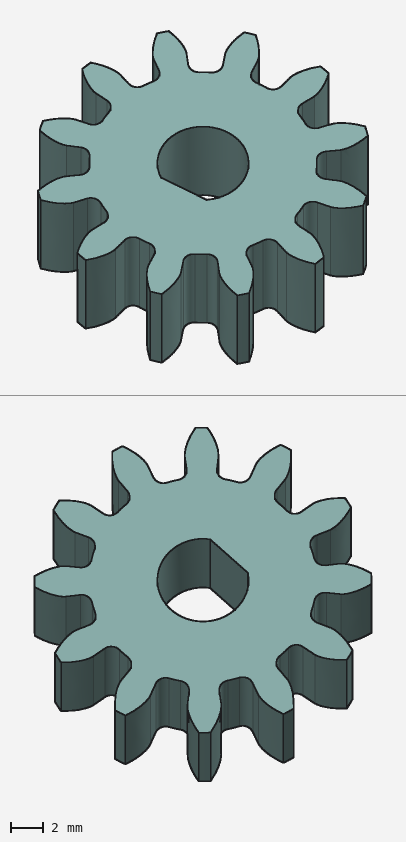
import cadquery as cq
import math

tooth_count = 12
thickness = 7.0
tip_radius = 10.3
base_radius = 8.47
root_radius = 6.95
root_fillet = 0.66
base_half_angle = math.radians(7.0)
involute_steps = 6

bore_radius = 2.79
flat_distance = 2.27

tooth_pitch = 2 * math.pi / tooth_count
fillet_center_radius = root_radius + root_fillet
fillet_angle = math.asin(root_fillet / fillet_center_radius)
fillet_end_radius = fillet_center_radius * math.cos(fillet_angle)


def polar(radius, angle):
    return (radius * math.cos(angle), radius * math.sin(angle))


def half_angle(radius):
    """Half the tooth width, as an angle, on the involute at a given radius."""
    pressure_angle = math.acos(base_radius / radius)
    return base_half_angle - (math.tan(pressure_angle) - pressure_angle)


def flank_points(center_angle, side):
    """Involute points from base to tip; side is -1 or +1 about the tooth center."""
    points = []
    for step in range(involute_steps + 1):
        radius = base_radius + (tip_radius - base_radius) * step / involute_steps
        points.append(polar(radius, center_angle + side * half_angle(radius)))
    return points


def fillet_middle(center, center_angle, side):
    """Middle of a root fillet arc; side is -1 or +1 towards the flank it touches."""
    inward = center_angle + math.pi
    sweep = math.pi / 2 - fillet_angle
    dx, dy = polar(root_fillet, inward - side * sweep / 2)
    return (center[0] + dx, center[1] + dy)


def add_tooth(outline, center_angle):
    """Add one tooth and the root gap after it, starting at the fillet's radial end."""
    rising = flank_points(center_angle, -1)
    falling = flank_points(center_angle, 1)[::-1]
    outline = outline.lineTo(*rising[0]).spline(rising[1:], includeCurrent=True)
    outline = outline.threePointArc(polar(tip_radius, center_angle), falling[0])
    outline = outline.spline(falling[1:], includeCurrent=True)

    gap_start = center_angle + base_half_angle
    gap_end = center_angle + tooth_pitch - base_half_angle
    first_center = polar(fillet_center_radius, gap_start + fillet_angle)
    second_center = polar(fillet_center_radius, gap_end - fillet_angle)
    outline = outline.lineTo(*polar(fillet_end_radius, gap_start))
    outline = outline.threePointArc(
        fillet_middle(first_center, gap_start + fillet_angle, -1),
        polar(root_radius, gap_start + fillet_angle),
    )
    outline = outline.threePointArc(
        polar(root_radius, center_angle + tooth_pitch / 2),
        polar(root_radius, gap_end - fillet_angle),
    )
    return outline.threePointArc(
        fillet_middle(second_center, gap_end - fillet_angle, 1),
        polar(fillet_end_radius, gap_end),
    )


first_tooth_angle = tooth_pitch / 2
outline = cq.Workplane("XY").moveTo(*polar(fillet_end_radius, first_tooth_angle - base_half_angle))
for tooth in range(tooth_count):
    outline = add_tooth(outline, first_tooth_angle + tooth * tooth_pitch)
gear = outline.close().extrude(thickness)

flat_half_width = math.sqrt(bore_radius**2 - flat_distance**2)
bore = (
    cq.Workplane("XY")
    .moveTo(-flat_half_width, -flat_distance)
    .lineTo(flat_half_width, -flat_distance)
    .threePointArc((0, bore_radius), (-flat_half_width, -flat_distance))
    .close()
    .extrude(thickness)
)

result = gear.cut(bore)